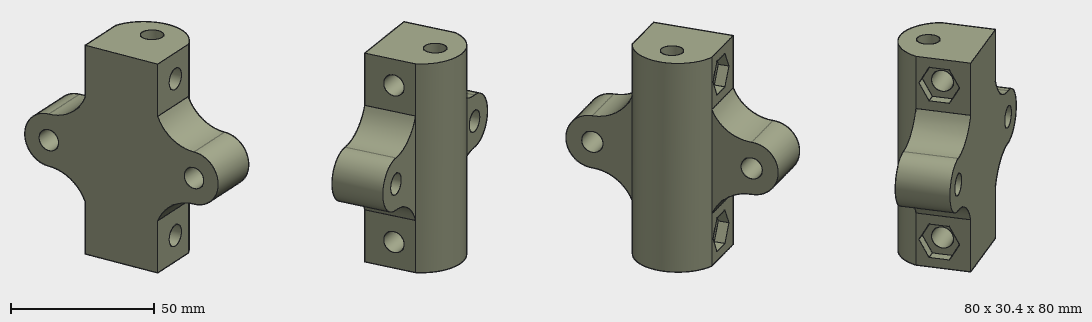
import cadquery as cq
import math

block_width = 30.0
block_height = 80.0
flat_depth = 20.0
crown_radius = 16.0
crown_center_y = flat_depth - math.sqrt(crown_radius**2 - (block_width / 2) ** 2)
block_depth = crown_center_y + crown_radius

rod_bore_diameter = 8.2
rod_bore_y = flat_depth

ear_hole_spacing = 60.0
ear_hole_diameter = 8.0
ear_end_radius = 10.0
ear_root_half_height = 20.0

bolt_spacing = 60.0
bolt_diameter = 8.0
bolt_y = 11.5
nut_sides = 6
nut_across_flats = 12.8
nut_pocket_depth = 4.0


def make_block():
    half_width = block_width / 2
    return (
        cq.Workplane("XY")
        .workplane(offset=-block_height / 2)
        .moveTo(-half_width, 0)
        .lineTo(half_width, 0)
        .lineTo(half_width, flat_depth)
        .threePointArc((0, block_depth), (-half_width, flat_depth))
        .close()
        .extrude(block_height)
    )


def make_ears():
    """Both ears as one symmetric plate running through the block."""
    root_x = block_width / 2
    end_x = ear_hole_spacing / 2
    tip_x = end_x + ear_end_radius
    run = end_x - root_x
    rise = ear_root_half_height - ear_end_radius
    flare_radius = (run**2 + rise**2) / (2 * rise)
    half_sweep = math.asin(run / flare_radius) / 2
    mid_x = end_x - flare_radius * math.sin(half_sweep)
    mid_z = ear_end_radius + flare_radius * (1 - math.cos(half_sweep))
    return (
        cq.Workplane("XZ")
        .moveTo(-root_x, ear_root_half_height)
        .lineTo(root_x, ear_root_half_height)
        .threePointArc((mid_x, mid_z), (end_x, ear_end_radius))
        .threePointArc((tip_x, 0), (end_x, -ear_end_radius))
        .threePointArc((mid_x, -mid_z), (root_x, -ear_root_half_height))
        .lineTo(-root_x, -ear_root_half_height)
        .threePointArc((-mid_x, -mid_z), (-end_x, -ear_end_radius))
        .threePointArc((-tip_x, 0), (-end_x, ear_end_radius))
        .threePointArc((-mid_x, mid_z), (-root_x, ear_root_half_height))
        .close()
        .extrude(-flat_depth)
    )


def make_rod_bore():
    return (
        cq.Workplane("XY")
        .workplane(offset=-block_height / 2)
        .center(0, rod_bore_y)
        .circle(rod_bore_diameter / 2)
        .extrude(block_height)
    )


def make_ear_holes():
    half_spacing = ear_hole_spacing / 2
    return (
        cq.Workplane("XZ")
        .pushPoints([(-half_spacing, 0), (half_spacing, 0)])
        .circle(ear_hole_diameter / 2)
        .extrude(-flat_depth)
    )


def make_bolt_cutters():
    """Bolt holes through the block, each with a nut pocket sunk into the -X face."""
    bolt_points = [(bolt_y, -bolt_spacing / 2), (bolt_y, bolt_spacing / 2)]
    nut_across_corners = nut_across_flats / math.cos(math.pi / nut_sides)
    side_face = cq.Workplane("YZ").workplane(offset=-block_width / 2)
    holes = side_face.pushPoints(bolt_points).circle(bolt_diameter / 2).extrude(block_width)
    pockets = side_face.pushPoints(bolt_points).polygon(nut_sides, nut_across_corners).extrude(nut_pocket_depth)
    return holes.union(pockets)


result = (
    make_block()
    .union(make_ears())
    .cut(make_rod_bore())
    .cut(make_ear_holes())
    .cut(make_bolt_cutters())
)